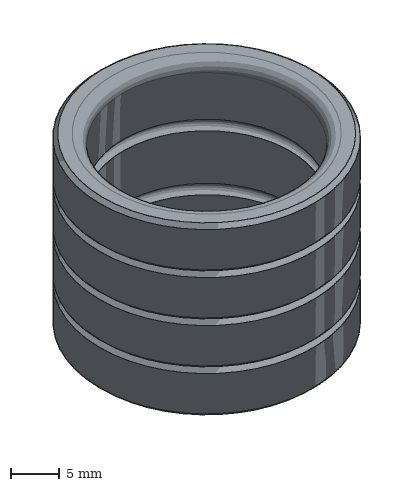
import cadquery as cq

OUTER_DIAMETER = 32.0
BORE_DIAMETER = 25.0
LENGTH = 25.0

OUTER_CHAMFER = 0.5
BORE_EDGE_RADIUS = 1.5

BAND_COUNT = 4
V_GROOVE_DEPTH = OUTER_CHAMFER

BORE_LAND_COUNT = 3
BORE_GROOVE_RADIUS = 0.75

OUTER_RADIUS = OUTER_DIAMETER / 2
BORE_RADIUS = BORE_DIAMETER / 2


def division_heights(count):
    """Heights that divide the sleeve length into equal parts."""
    return [LENGTH * i / count for i in range(1, count)]


def make_sleeve():
    """Plain tube with chamfered outer rims and rounded bore mouths."""
    outer = cq.Workplane("XY").circle(OUTER_RADIUS).extrude(LENGTH)
    bore = cq.Workplane("XY").circle(BORE_RADIUS).extrude(LENGTH)
    outer = outer.faces("<Z or >Z").edges().chamfer(OUTER_CHAMFER)
    bore_mouths = cq.selectors.RadiusNthSelector(0)
    return outer.cut(bore).faces("<Z or >Z").edges(bore_mouths).fillet(BORE_EDGE_RADIUS)


def make_v_groove(height):
    """Ring of 45-degree triangular section that cuts the outside."""
    return (
        cq.Workplane("XZ")
        .moveTo(OUTER_RADIUS - V_GROOVE_DEPTH, height)
        .lineTo(OUTER_RADIUS, height + V_GROOVE_DEPTH)
        .lineTo(OUTER_RADIUS, height - V_GROOVE_DEPTH)
        .close()
        .revolve(360, (0, 0, 0), (0, 1, 0))
    )


def make_bore_groove(height):
    """Torus centred on the bore wall; its outer half cuts the groove."""
    return (
        cq.Workplane("XZ")
        .center(BORE_RADIUS, height)
        .circle(BORE_GROOVE_RADIUS)
        .revolve(360, (-BORE_RADIUS, 0, 0), (-BORE_RADIUS, 1, 0))
    )


result = make_sleeve()

for groove_height in division_heights(BAND_COUNT):
    result = result.cut(make_v_groove(groove_height))

for groove_height in division_heights(BORE_LAND_COUNT):
    result = result.cut(make_bore_groove(groove_height))